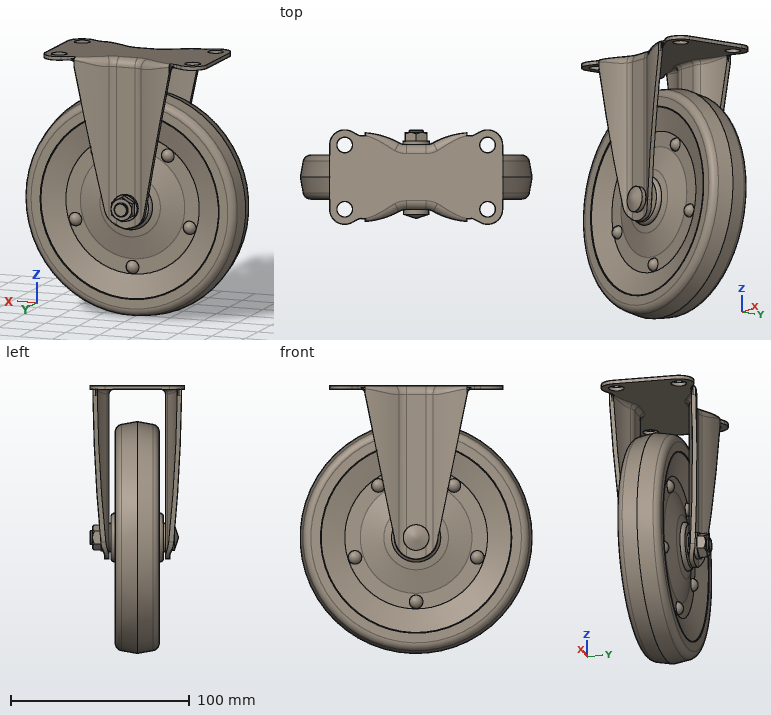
import cadquery as cq
import math


wheel_radius = 65.0
overall_height = 150.0
plate_top = overall_height - wheel_radius

plate_thickness = 2.1
hole_x = 40.0
hole_y = 18.0
hole_diameter = 8.6
corner_radius = 8.5
corner_slope = 28.0
notch_start_x = 32.6
notch_end_x = 28.2
notch_end_y = 23.4

leg_thickness = 2.5
leg_outer_y = 18.2
web_half_width = 5.5
flare_start_x = 9.5
flare_angle = 29.0
leg_top_half_width = 29.6
flange_end_x = 28.5
flange_end_y = 24.9
leg_tip_radius = 12.0
bend_radius = 5.0
bend_end_radius = 1.7
inner_bend_end_radius = 0.3
corner_fillet = 1.6
leg_corner_inner_y = 22.4
leg_overlap = 0.8
leg_inner_y = leg_outer_y - leg_thickness

shaft_radius = 4.0
head_radius = 7.2
head_rim_height = 2.6
head_cone_height = 2.4
seat_reach = 2.0
washer_radius = 7.5
washer_thickness = 2.0
nut_corner_radius = 7.1
nut_height = 4.8
nut_chamfer = 0.9
shaft_end_y = 26.4
shaft_end_chamfer = 0.5

half_width = 12.4
tread_shoulder_y = 8.9
tread_shoulder_radius = 63.4
side_outer_radius = 59.0
rim_radius = 53.6
rim_step = 0.4
disc_outer_radius = 40.0
disc_inner_radius = 31.3
disc_half_thickness = 7.5
hub_shoulder_radius = 18.1
hub_shoulder_y = 11.2
hub_radius = 13.8
hub_start_y = 12.2
hub_end_radius = 12.3
hub_end_y = 14.7
spacer_radius = 8.0

rivet_count = 5
rivet_circle_radius = 36.0
rivet_radius = 3.8
rivet_height = 3.2


def leg_profile(depth):
    """Plan outline of one quarter of the legs, moved inward by depth from their outer faces."""
    slope = math.radians(flare_angle)
    web_arc_radius = (flare_start_x - web_half_width) / math.sin(slope)
    flare_start_y = leg_outer_y + web_arc_radius * (1 - math.cos(slope))
    chord_slope = math.atan2(flange_end_y - flare_start_y, flange_end_x - flare_start_x)
    end_slope = 2 * chord_slope - slope

    def moved(x, y, angle):
        return x + depth * math.sin(angle), y - depth * math.cos(angle)

    web_x, web_y = moved(web_half_width, leg_outer_y, 0)
    flare_x, flare_y = moved(flare_start_x, flare_start_y, slope)
    end_x, end_y = moved(flange_end_x, flange_end_y, end_slope)

    return (
        cq.Workplane("XY")
        .moveTo(0, web_y)
        .lineTo(web_x, web_y)
        .tangentArcPoint((flare_x, flare_y), relative=False)
        .tangentArcPoint((end_x, end_y), relative=False)
        .lineTo(end_x, 0)
        .lineTo(0, 0)
        .close()
    )


def folded_quarter(depth, top, web_radius, end_radius):
    """Solid quarter of the legs whose top edge is rounded, the radius shrinking along the flange."""
    bottom = -2 * leg_tip_radius
    block = leg_profile(depth).extrude(top - bottom).translate((0, 0, bottom))
    top_face = block.faces(">Z")
    fillet = cq.occ_impl.shapes.BRepFilletAPI_MakeFillet(block.val().wrapped)
    fillet.Add(top_face.edges("%CIRCLE").vals()[0].wrapped)
    for vertex in top_face.vertices().vals():
        if vertex.Y > 0:
            at_end = vertex.X > (flare_start_x + flange_end_x) / 2
            fillet.SetRadius(end_radius if at_end else web_radius, 1, vertex.wrapped)
    return cq.Workplane(cq.Shape.cast(fillet.Shape()))


def four_quarters(quarter):
    """Mirror a quarter across both middle planes and join it into one solid."""
    half = quarter.union(quarter.mirror("YZ"))
    return half.union(half.mirror("XZ"))


def taper_tangent():
    """Point (x, z) where the straight +X leg edge meets its rounded tip."""
    top_distance = math.hypot(leg_top_half_width, plate_top)
    angle = math.atan2(plate_top, leg_top_half_width) - math.acos(leg_tip_radius / top_distance)
    return leg_tip_radius * math.cos(angle), leg_tip_radius * math.sin(angle)


def leg_taper():
    """Tapered side outline of both legs with rounded tips, cut through along Y."""
    tangent_x, tangent_z = taper_tangent()
    return (
        cq.Workplane("XZ")
        .moveTo(-leg_top_half_width, plate_top)
        .lineTo(-tangent_x, tangent_z)
        .threePointArc((0, -leg_tip_radius), (tangent_x, tangent_z))
        .lineTo(leg_top_half_width, plate_top)
        .close()
        .extrude(flange_end_y + 1, both=True)
    )


def leg_corners():
    """Pieces at +X that carry each leg edge past the flange and up into the plate with a fillet."""
    tangent_x, tangent_z = taper_tangent()
    edge_angle = math.atan2(leg_top_half_width - tangent_x, plate_top - tangent_z)
    arc_radius = corner_fillet / math.tan((math.pi / 2 - edge_angle) / 2)
    underside = plate_top - plate_thickness
    corner_x = leg_top_half_width - math.tan(edge_angle) * plate_thickness
    gusset_bottom = plate_top - (leg_top_half_width - flange_end_x) / math.tan(edge_angle)
    end_x = corner_x - corner_fillet * math.sin(edge_angle)
    end_z = underside - corner_fillet * math.cos(edge_angle)
    corner = (
        cq.Workplane("XZ", origin=(0, notch_end_y, 0))
        .moveTo(corner_x, underside)
        .lineTo(corner_x + corner_fillet, underside)
        .radiusArc((end_x, end_z), -arc_radius)
        .lineTo(flange_end_x, gusset_bottom)
        .lineTo(flange_end_x - leg_overlap, gusset_bottom)
        .lineTo(flange_end_x - leg_overlap, underside + plate_thickness / 2)
        .lineTo(corner_x + corner_fillet, underside + plate_thickness / 2)
        .close()
        .extrude(notch_end_y - leg_corner_inner_y)
    )
    return corner, corner.mirror("XZ")


def plate_end():
    """Rounded plate end at +X, with the notches leading in to the legs."""
    slope = math.radians(corner_slope)
    end_x = hole_x + corner_radius
    edge_y = hole_y + corner_radius
    corner_x = hole_x - corner_radius * math.sin(slope)
    corner_y = hole_y + corner_radius * math.cos(slope)
    notch_y = corner_y - (corner_x - notch_start_x) * math.tan(slope)
    diagonal = corner_radius * math.sqrt(0.5)
    outline = (
        cq.Workplane("XY", origin=(0, 0, plate_top))
        .moveTo(end_x, 0)
        .lineTo(end_x, hole_y)
        .threePointArc((hole_x + diagonal, hole_y + diagonal), (hole_x, edge_y))
        .tangentArcPoint((corner_x, corner_y), relative=False)
        .lineTo(notch_start_x, notch_y)
        .tangentArcPoint((notch_end_x, notch_end_y), relative=False)
        .lineTo(notch_end_x, 0)
        .close()
    )
    half = outline.extrude(-plate_thickness)
    return half.union(half.mirror("XZ"))


def make_bracket():
    """Mounting plate and both legs, folded from one sheet."""
    outer = four_quarters(folded_quarter(0, plate_top, bend_radius, bend_end_radius))
    cavity = four_quarters(
        folded_quarter(
            leg_thickness,
            plate_top - plate_thickness,
            bend_radius - leg_thickness,
            inner_bend_end_radius,
        )
    )
    bracket = outer.intersect(leg_taper()).cut(cavity)
    for end in (plate_end(), *leg_corners()):
        bracket = bracket.union(end).union(end.mirror("YZ"))
    mounting_holes = (
        cq.Workplane("XY", origin=(0, 0, plate_top))
        .rect(2 * hole_x, 2 * hole_y, forConstruction=True)
        .vertices()
        .circle(hole_diameter / 2)
        .extrude(-plate_thickness)
    )
    axle_holes = cq.Workplane("XZ").circle(shaft_radius).extrude(leg_outer_y, both=True)
    head_seat = cq.Workplane("XZ", origin=(0, -leg_outer_y, 0)).circle(head_radius).extrude(seat_reach)
    washer_seat = cq.Workplane("XZ", origin=(0, leg_outer_y, 0)).circle(washer_radius).extrude(-seat_reach)
    return bracket.cut(mounting_holes).cut(axle_holes).cut(head_seat).cut(washer_seat)


def rivet_domes():
    """Ring of low domes on the -Y face of the disc."""
    sphere_radius = (rivet_radius**2 + rivet_height**2) / (2 * rivet_height)
    dome = (
        cq.Workplane("XY")
        .moveTo(0, -disc_half_thickness)
        .lineTo(rivet_radius, -disc_half_thickness)
        .radiusArc((0, -disc_half_thickness - rivet_height), sphere_radius)
        .close()
        .revolve(360, (0, 0, 0), (0, 1, 0))
        .translate((0, 0, -rivet_circle_radius))
    )
    step = 360 / rivet_count
    return [dome.rotate((0, 0, 0), (0, 1, 0), i * step) for i in range(rivet_count)]


def make_wheel():
    """Tyre, disc and hub, revolved from one half of their section and mirrored."""
    hub_drop = hub_radius - hub_end_radius
    hub_round_radius = (hub_drop**2 + (hub_end_y - hub_start_y) ** 2) / (2 * hub_drop)
    half = (
        cq.Workplane("XY")
        .moveTo(shaft_radius, 0)
        .lineTo(shaft_radius, leg_inner_y)
        .lineTo(spacer_radius, leg_inner_y)
        .lineTo(spacer_radius, hub_end_y)
        .lineTo(hub_end_radius, hub_end_y)
        .radiusArc((hub_radius, hub_start_y), hub_round_radius)
        .lineTo(hub_shoulder_radius, hub_shoulder_y)
        .lineTo(disc_inner_radius, disc_half_thickness)
        .lineTo(disc_outer_radius, disc_half_thickness)
        .lineTo(rim_radius - rim_step, half_width - rim_step)
        .lineTo(rim_radius, half_width - rim_step)
        .lineTo(rim_radius, half_width)
        .lineTo(side_outer_radius, half_width)
        .tangentArcPoint((tread_shoulder_radius, tread_shoulder_y), relative=False)
        .lineTo(wheel_radius, 0)
        .close()
        .revolve(360, (0, 0, 0), (0, 1, 0))
    )
    for dome in rivet_domes():
        half = half.union(dome.mirror("XZ"))
    return half.union(half.mirror("XZ"))


def make_axle():
    """Bolt with its conical head at -Y and the washer and nut at +Y."""
    rim_y = -leg_outer_y - head_rim_height
    washer_y = leg_outer_y + washer_thickness
    nut_y = washer_y + nut_height
    bolt = (
        cq.Workplane("XY")
        .moveTo(0, rim_y - head_cone_height)
        .lineTo(head_radius, rim_y)
        .lineTo(head_radius, -leg_outer_y)
        .lineTo(shaft_radius, -leg_outer_y)
        .lineTo(shaft_radius, leg_outer_y)
        .lineTo(washer_radius, leg_outer_y)
        .lineTo(washer_radius, washer_y)
        .lineTo(shaft_radius, washer_y)
        .lineTo(shaft_radius, shaft_end_y - shaft_end_chamfer)
        .lineTo(shaft_radius - shaft_end_chamfer, shaft_end_y)
        .lineTo(0, shaft_end_y)
        .close()
        .revolve(360, (0, 0, 0), (0, 1, 0))
    )
    hexagon = (
        cq.Workplane("XZ", origin=(0, nut_y, 0))
        .transformed(rotate=(0, 0, 90))
        .polygon(6, 2 * nut_corner_radius)
        .extrude(nut_height)
    )
    nut_cone = (
        cq.Workplane("XZ", origin=(0, nut_y, 0))
        .circle(nut_corner_radius * math.cos(math.pi / 6))
        .workplane(offset=nut_chamfer)
        .circle(nut_corner_radius)
        .loft()
        .faces("<Y")
        .workplane()
        .circle(nut_corner_radius)
        .extrude(nut_height - nut_chamfer)
    )
    return bolt.union(hexagon.intersect(nut_cone))


bracket = make_bracket()
wheel = make_wheel()
axle = make_axle()

result = cq.Compound.makeCompound([body.solids().val() for body in (bracket, wheel, axle)])